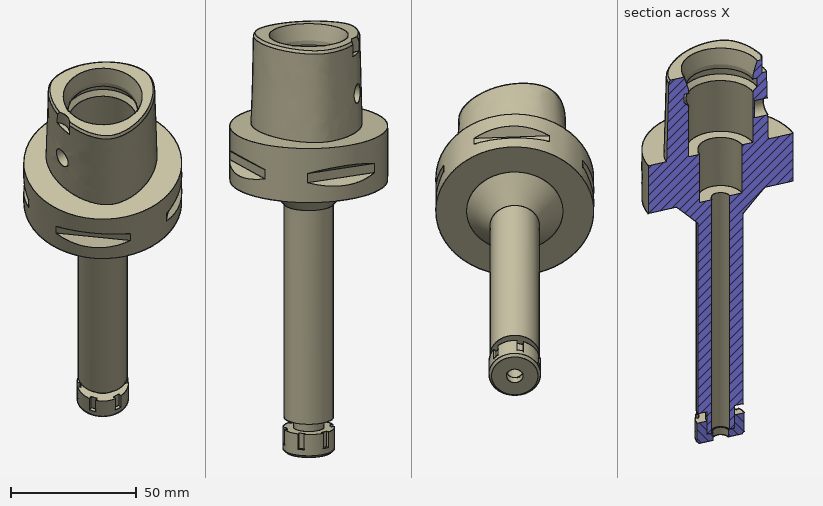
import cadquery as cq
import math


total_length = 173.0
taper_height = 37.7
flange_diameter = 63.0
flange_thickness = 22.5

taper_base_radius = 22.1
taper_slope = 1 / 40
lobe_eccentricity = 1.4
rim_chamfer_height = 1.2
rim_chamfer_width = 0.7
outline_points = 36

cone_top_diameter = 38.4
shank_diameter = 19.7
cone_height = 9.9
neck_diameter = 12.1
neck_gap = 4.2

mouth_radius = 15.7
bore_radius = 13.8
mouth_depth = 6.5
groove_top_depth = 8.3
groove_bottom_depth = 12.1
seat_depth = groove_bottom_depth + mouth_radius - bore_radius
counterbore_radius = 9.2
through_radius = 3.8

notch_radius = 5.7
notch_axis_offset = 23.7
notch_depth = 6.0
index_hole_diameter = 7.8
index_hole_depth_below_rim = 22.5
index_hole_floor_offset = 14.7

groove_count = 4
groove_first_angle = 45
groove_floor_offset = 27.7
groove_floor_width = 3.8
groove_side_angle = 30
groove_center_depth = 12.3

nut_diameter = 20.6
nut_height = 9.9
nut_chamfer = 1.0
nut_bore_radius = 3.3
wrench_slot_count = 6
wrench_slot_width = 2.6
wrench_slot_height = 6.4
wrench_slot_depth = 1.4

flange_radius = flange_diameter / 2
rim_z = taper_height
chamfer_start_z = rim_z - rim_chamfer_height
flange_bottom_z = -flange_thickness
cone_bottom_z = flange_bottom_z - cone_height
nut_bottom_z = taper_height - total_length
nut_top_z = nut_bottom_z + nut_height
shank_bottom_z = nut_top_z + neck_gap
neck_bottom_z = nut_top_z - wrench_slot_height


def lobe_point(mean_radius, turn):
    """Point on the three-lobed outline with one lobe toward +Y; turn runs from 0 to 1."""
    angle = 2 * math.pi * turn
    reach = mean_radius + lobe_eccentricity * math.cos(3 * angle)
    slide = -3 * lobe_eccentricity * math.sin(3 * angle)
    along_lobe = reach * math.cos(angle) - slide * math.sin(angle)
    across_lobe = reach * math.sin(angle) + slide * math.cos(angle)
    return (-across_lobe, along_lobe)


def lobe_outline(mean_radius):
    return [lobe_point(mean_radius, index / outline_points) for index in range(outline_points)]


def lobed_frustum(bottom_z, bottom_radius, top_z, top_radius):
    return (
        cq.Workplane("XY", origin=(0, 0, bottom_z))
        .spline(lobe_outline(bottom_radius), periodic=True)
        .close()
        .workplane(offset=top_z - bottom_z)
        .spline(lobe_outline(top_radius), periodic=True)
        .close()
        .loft(ruled=True)
    )


def make_taper():
    chamfer_start_radius = taper_base_radius - taper_slope * chamfer_start_z
    rim_radius = chamfer_start_radius - rim_chamfer_width
    body = lobed_frustum(0, taper_base_radius, chamfer_start_z, chamfer_start_radius)
    chamfered_rim = lobed_frustum(chamfer_start_z, chamfer_start_radius, rim_z, rim_radius)
    return body.union(chamfered_rim)


def make_turned_body():
    return (
        cq.Workplane("XZ")
        .moveTo(0, 0)
        .lineTo(flange_radius, 0)
        .lineTo(flange_radius, flange_bottom_z)
        .lineTo(cone_top_diameter / 2, flange_bottom_z)
        .lineTo(shank_diameter / 2, cone_bottom_z)
        .lineTo(shank_diameter / 2, shank_bottom_z)
        .lineTo(neck_diameter / 2, shank_bottom_z)
        .lineTo(neck_diameter / 2, neck_bottom_z)
        .lineTo(0, neck_bottom_z)
        .close()
        .revolve(360, (0, 0, 0), (0, 1, 0))
    )


def make_bore():
    """Conical mouth, undercut groove, conical seat, main bore, counterbore and through hole."""
    return (
        cq.Workplane("XZ")
        .moveTo(0, rim_z)
        .lineTo(mouth_radius, rim_z)
        .lineTo(bore_radius, rim_z - mouth_depth)
        .lineTo(bore_radius, rim_z - groove_top_depth)
        .lineTo(mouth_radius, rim_z - groove_top_depth)
        .lineTo(mouth_radius, rim_z - groove_bottom_depth)
        .lineTo(bore_radius, rim_z - seat_depth)
        .lineTo(bore_radius, 0)
        .lineTo(counterbore_radius, 0)
        .lineTo(counterbore_radius, flange_bottom_z)
        .lineTo(through_radius, flange_bottom_z)
        .lineTo(through_radius, neck_bottom_z)
        .lineTo(0, neck_bottom_z)
        .close()
        .revolve(360, (0, 0, 0), (0, 1, 0))
    )


def make_rim_notch():
    return (
        cq.Workplane("XY", origin=(0, -notch_axis_offset, rim_z - notch_depth))
        .circle(notch_radius)
        .extrude(notch_depth)
    )


def make_index_hole():
    return (
        cq.Workplane("XZ", origin=(0, -index_hole_floor_offset, rim_z - index_hole_depth_below_rim))
        .circle(index_hole_diameter / 2)
        .extrude(flange_radius - index_hole_floor_offset)
    )


def make_gripper_groove(angle):
    """Straight groove with a flat floor and flared sides, square to the given direction."""
    depth = flange_radius - groove_floor_offset
    floor_half = groove_floor_width / 2
    mouth_half = floor_half + depth * math.tan(math.radians(groove_side_angle))
    return (
        cq.Workplane("XZ", origin=(0, 0, -groove_center_depth))
        .moveTo(groove_floor_offset, -floor_half)
        .lineTo(flange_radius, -mouth_half)
        .lineTo(flange_radius, mouth_half)
        .lineTo(groove_floor_offset, floor_half)
        .close()
        .extrude(flange_radius, both=True)
        .rotate((0, 0, 0), (0, 0, 1), angle)
    )


def make_holder():
    holder = make_turned_body().union(make_taper())
    holder = holder.cut(make_bore()).cut(make_rim_notch()).cut(make_index_hole())
    for index in range(groove_count):
        angle = groove_first_angle + index * 360 / groove_count
        holder = holder.cut(make_gripper_groove(angle))
    return holder


def make_wrench_slot(angle):
    """Slot open at the top face and the rim of the nut; the cutter overhangs the rim by the slot depth."""
    return (
        cq.Workplane("XY", origin=(0, 0, nut_top_z - wrench_slot_height))
        .center(nut_diameter / 2, 0)
        .rect(2 * wrench_slot_depth, wrench_slot_width)
        .extrude(wrench_slot_height)
        .rotate((0, 0, 0), (0, 0, 1), angle)
    )


def make_nut():
    nut = (
        cq.Workplane("XY", origin=(0, 0, nut_bottom_z))
        .circle(nut_diameter / 2)
        .extrude(nut_height)
        .faces("<Z")
        .chamfer(nut_chamfer)
        .faces("<Z")
        .workplane()
        .hole(2 * nut_bore_radius)
    )
    neck_recess = (
        cq.Workplane("XY", origin=(0, 0, neck_bottom_z))
        .circle(neck_diameter / 2)
        .extrude(nut_top_z - neck_bottom_z)
    )
    nut = nut.cut(neck_recess)
    for index in range(wrench_slot_count):
        nut = nut.cut(make_wrench_slot(index * 360 / wrench_slot_count))
    return nut


holder = make_holder()
nut = make_nut()
result = cq.Compound.makeCompound([holder.val(), nut.val()])